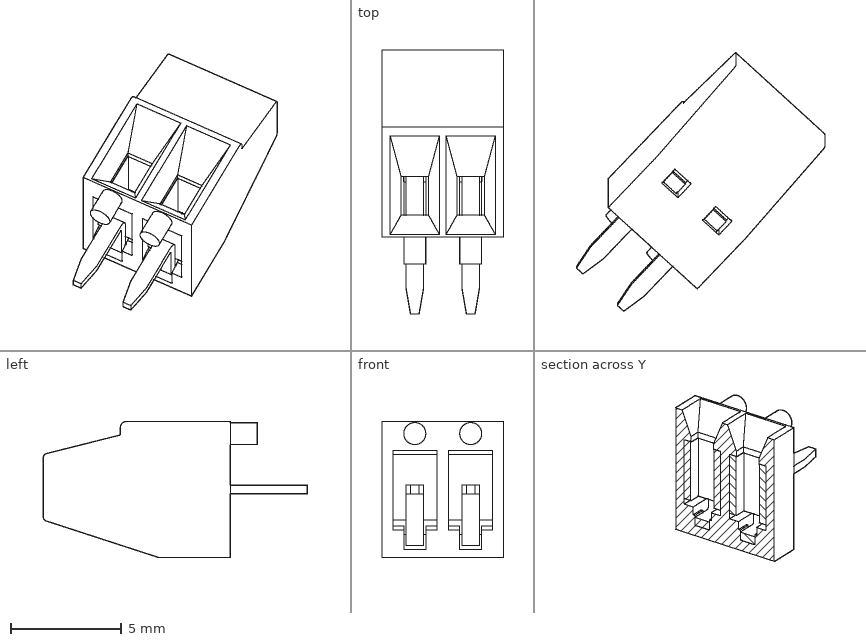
import cadquery as cq
import math


pole_count = 2
pitch = 2.54
end_margin = 1.5
width = (pole_count - 1) * pitch + 2 * end_margin
pole_centers = [(i - (pole_count - 1) / 2) * pitch for i in range(pole_count)]

height = 6.2
depth = 8.5
step_y = 5.0
step_drop = 0.62
step_radius = 0.3
rear_top_z = 4.7
bottom_slope_start_y = 3.24
bottom_slope_angle = 18.0
rear_radius = 0.2

peg_radius = 0.5
peg_length = 1.23
peg_z = 5.64

cavity_width = 2.0
cavity_front_y = 0.52
cavity_floor_z = 1.45
cage_height = 2.99
cavity_top_z = 4.7
flare_rise = 0.18

cage_side_wall = 0.36
cage_end_wall = 0.4
cage_length = 2.7
cavity_rear_y = cavity_front_y + cage_length

funnel_width = 2.24
funnel_front_y = 0.115
funnel_rear_y = 4.6
throat_width = 1.24
throat_front_y = 1.0
throat_rear_y = 2.74
throat_top_z = 5.0

pin_width = 0.8
pin_thickness = 0.4
pin_front_y = 0.1
pin_inner_radius = 0.1
pin_outer_radius = pin_inner_radius + pin_thickness
tail_top_z = 3.3
tail_end_y = -3.5
tail_taper_y = -2.35
tail_tip_width = 0.4
arm_bottom_z = 0.55
arm_end_y = 3.1
pin_rear_y = pin_front_y + pin_thickness

slot_width = 1.0
slot_floor_z = arm_bottom_z
slot_curve_radius = 0.4
ledge_front_y = cavity_front_y + slot_curve_radius
ledge_rear_y = 2.5
ledge_z = arm_bottom_z + pin_outer_radius
slot_wall_lean = 6.0
below_housing_z = -0.5


def side_profile():
    """Workplane whose local axes are Y and Z, at x = 0."""
    return cq.Workplane("YZ")


def box_between(x_size, y_range, z_range):
    """Box centred on x = 0 that spans the given Y and Z ranges."""
    return (
        side_profile()
        .moveTo(y_range[0], z_range[0])
        .lineTo(y_range[1], z_range[0])
        .lineTo(y_range[1], z_range[1])
        .lineTo(y_range[0], z_range[1])
        .close()
        .extrude(x_size / 2, both=True)
    )


def make_housing_block():
    slope_run = depth - bottom_slope_start_y
    rear_bottom_z = slope_run * math.tan(math.radians(bottom_slope_angle))
    block = (
        side_profile()
        .polyline(
            [
                (0, 0),
                (bottom_slope_start_y, 0),
                (depth, rear_bottom_z),
                (depth, rear_top_z),
                (step_y, height - step_drop),
                (step_y, height),
                (0, height),
            ]
        )
        .close()
        .extrude(width / 2, both=True)
    )
    block = block.edges("|X").edges(">Y").fillet(rear_radius)
    step_edge = cq.selectors.NearestToPointSelector((0, step_y, height))
    return block.edges(step_edge).fillet(step_radius)


def make_peg():
    return cq.Workplane("XZ").center(0, peg_z).circle(peg_radius).extrude(peg_length)


def make_funnel_cut():
    """Tapered wire entry that ends in a straight throat down to the cavity."""
    mouth_center_y = (funnel_front_y + funnel_rear_y) / 2
    throat_center_y = (throat_front_y + throat_rear_y) / 2
    throat_length = throat_rear_y - throat_front_y
    funnel = (
        cq.Workplane("XY", origin=(0, 0, height))
        .center(0, mouth_center_y)
        .rect(funnel_width, funnel_rear_y - funnel_front_y)
        .workplane(offset=throat_top_z - height)
        .center(0, throat_center_y - mouth_center_y)
        .rect(throat_width, throat_length)
        .loft(ruled=True)
    )
    throat = box_between(throat_width, (throat_front_y, throat_rear_y), (cavity_top_z, throat_top_z))
    return funnel.union(throat)


def make_cavity_cut():
    """Cage cavity whose floor and ceiling flare open towards the pin face."""
    return (
        side_profile()
        .polyline(
            [
                (0, cavity_floor_z - flare_rise),
                (cavity_front_y, cavity_floor_z),
                (cavity_rear_y, cavity_floor_z),
                (cavity_rear_y, cavity_top_z),
                (cavity_front_y, cavity_top_z),
                (0, cavity_top_z + flare_rise),
            ]
        )
        .close()
        .extrude(cavity_width / 2, both=True)
    )


def make_slot_cut():
    """Pin slot: flared floor, curved rise to a ledge, then an opening through the bottom."""
    lean_run = (cavity_floor_z - below_housing_z) * math.tan(math.radians(slot_wall_lean))
    curve_offset = slot_curve_radius * math.sin(math.radians(45))
    curve_middle = (
        cavity_front_y + curve_offset,
        slot_floor_z + slot_curve_radius - curve_offset,
    )
    slot = (
        side_profile()
        .moveTo(0, slot_floor_z - flare_rise)
        .lineTo(cavity_front_y, slot_floor_z)
        .threePointArc(curve_middle, (ledge_front_y, slot_floor_z + slot_curve_radius))
        .lineTo(ledge_front_y, ledge_z)
        .lineTo(ledge_rear_y, ledge_z)
        .lineTo(ledge_rear_y, below_housing_z)
        .lineTo(cavity_rear_y + lean_run, below_housing_z)
        .lineTo(cavity_rear_y, cavity_floor_z)
        .lineTo(0, cavity_floor_z)
        .close()
        .extrude(slot_width / 2, both=True)
    )
    arm_channel = box_between(pin_width, (cavity_front_y, ledge_rear_y), (arm_bottom_z, ledge_z))
    return slot.union(arm_channel)


def make_housing():
    housing = make_housing_block()
    for x in pole_centers:
        housing = housing.union(make_peg().translate((x, 0, 0)))
        for cut in (make_funnel_cut(), make_cavity_cut(), make_slot_cut()):
            housing = housing.cut(cut.translate((x, 0, 0)))
    return housing


def make_pin():
    """Strip with a tail out of the pin face, an upright and an arm under the cage."""
    tail_bottom_z = tail_top_z - pin_thickness
    arm_top_z = arm_bottom_z + pin_thickness
    strip = (
        side_profile()
        .polyline(
            [
                (tail_end_y, tail_top_z),
                (pin_rear_y, tail_top_z),
                (pin_rear_y, arm_top_z),
                (arm_end_y, arm_top_z),
                (arm_end_y, arm_bottom_z),
                (pin_front_y, arm_bottom_z),
                (pin_front_y, tail_bottom_z),
                (tail_end_y, tail_bottom_z),
            ]
        )
        .close()
        .extrude(pin_width / 2, both=True)
    )
    bends = [
        ((pin_rear_y, tail_top_z), pin_outer_radius),
        ((pin_front_y, tail_bottom_z), pin_inner_radius),
        ((pin_rear_y, arm_top_z), pin_inner_radius),
        ((pin_front_y, arm_bottom_z), pin_outer_radius),
    ]
    for (y, z), radius in bends:
        corner = cq.selectors.NearestToPointSelector((0, y, z))
        strip = strip.edges("|X").edges(corner).fillet(radius)
    outline = (
        cq.Workplane("XY")
        .polyline(
            [
                (-tail_tip_width / 2, tail_end_y),
                (tail_tip_width / 2, tail_end_y),
                (pin_width / 2, tail_taper_y),
                (pin_width / 2, arm_end_y),
                (-pin_width / 2, arm_end_y),
                (-pin_width / 2, tail_taper_y),
            ]
        )
        .close()
        .extrude(height)
    )
    return strip.intersect(outline)


def make_cage():
    cage_z = (cavity_top_z - cage_height, cavity_top_z)
    body = box_between(cavity_width, (cavity_front_y, cavity_rear_y), cage_z)
    opening_y = (cavity_front_y + cage_end_wall, cavity_rear_y - cage_end_wall)
    opening = box_between(cavity_width - 2 * cage_side_wall, opening_y, cage_z)
    return body.cut(opening)


housing = make_housing()
pins = [make_pin().translate((x, 0, 0)) for x in pole_centers]
cages = [make_cage().translate((x, 0, 0)) for x in pole_centers]

result = cq.Compound.makeCompound(
    [housing.val(), *[pin.val() for pin in pins], *[cage.val() for cage in cages]]
)